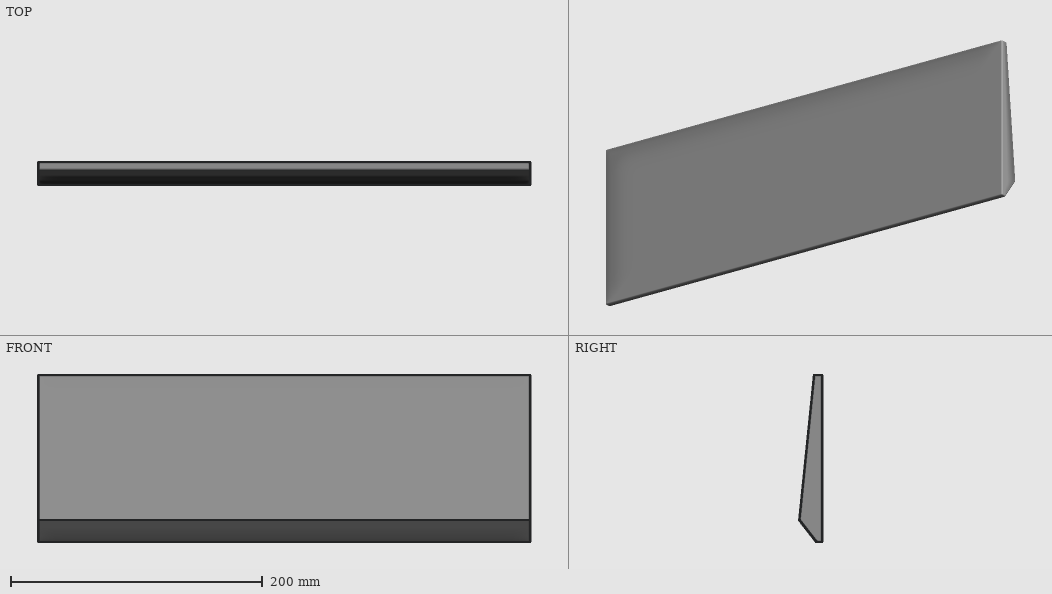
import cadquery as cq

length = 390.7
depth = 18.5
height = 133.0

top_thickness = 6.5
bottom_thickness = 4.5
nose_height = 17.5

edge_radius = 0.98

back = depth / 2
front = -depth / 2
bottom = -height / 2
top = height / 2


def wedge():
    """Bar with a flat back, a leaning front face and an undercut lower front."""
    profile = [
        (back, bottom),
        (back, top),
        (back - top_thickness, top),
        (front, bottom + nose_height),
        (back - bottom_thickness, bottom),
    ]
    return cq.Workplane("YZ").polyline(profile).close().extrude(length / 2, both=True)


def rounded(body):
    """Round both end outlines and the long edges of the back and top faces."""
    return body.edges("(not |X) or >Y or >Z").fillet(edge_radius)


result = rounded(wedge())